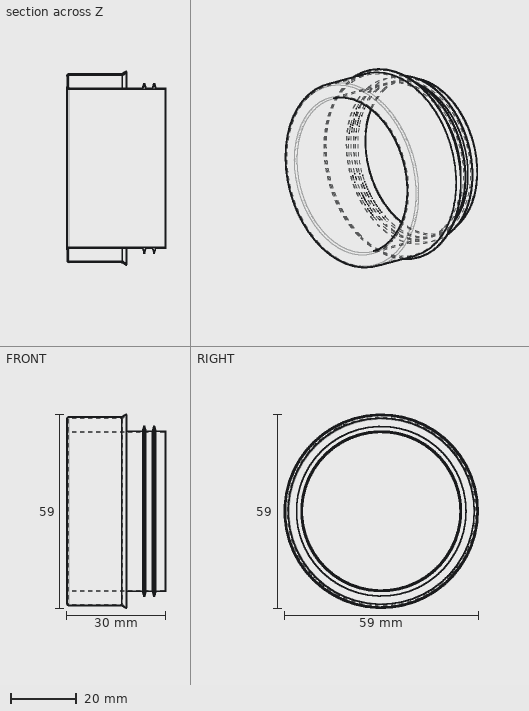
import math

import cadquery as cq

wall = 0.4
total_length = 30.0
bore_diameter = 48.0
shell_diameter = 57.4
bend_radius = 0.6

flare_start = 16.7
lip_tip_x = 17.95
lip_diameter = 59.0

rib_positions = (23.5, 26.5)
rib_height = 1.4
rib_base_width = 1.0
rib_crest_width = 0.2

bore_radius = bore_diameter / 2
tube_radius = bore_radius + wall
shell_radius = shell_diameter / 2
shell_inner_radius = shell_radius - wall
inner_bend_radius = bend_radius - wall

lip_tip_radius = lip_diameter / 2
flare_angle = math.atan2(lip_tip_radius - shell_radius, lip_tip_x - flare_start)
lip_back_x = lip_tip_x + wall * math.sin(flare_angle)
lip_back_radius = lip_tip_radius - wall * math.cos(flare_angle)
inner_flare_start = flare_start + wall * math.tan(flare_angle / 2)


def revolve_about_x(profile):
    """Turn an open (x, radius) outline, once closed, about the X axis."""
    return profile.close().revolve(360, (0, 0, 0), (1, 0, 0))


def make_blank():
    """Front end, shell and tube as one solid ring with rounded front edges."""
    blank = revolve_about_x(
        cq.Workplane("XY")
        .moveTo(0, bore_radius)
        .lineTo(0, shell_radius)
        .lineTo(flare_start, shell_radius)
        .lineTo(lip_tip_x, lip_tip_radius)
        .lineTo(lip_back_x, lip_back_radius)
        .lineTo(lip_back_x, tube_radius)
        .lineTo(total_length, tube_radius)
        .lineTo(total_length, bore_radius)
    )
    return blank.faces("<X").edges().fillet(bend_radius)


def make_cavity():
    """Ring-shaped space between shell and tube, flaring out under the lip."""
    cavity = revolve_about_x(
        cq.Workplane("XY")
        .moveTo(wall, tube_radius)
        .lineTo(wall, shell_inner_radius)
        .lineTo(inner_flare_start, shell_inner_radius)
        .lineTo(lip_back_x, lip_back_radius)
        .lineTo(lip_back_x, tube_radius)
    )
    return cavity.faces("<X").edges().fillet(inner_bend_radius)


def make_rib(center):
    """Tapered rib rooted inside the tube wall."""
    root_radius = tube_radius - wall / 2
    rib_radius = tube_radius + rib_height
    half_base = rib_base_width / 2
    half_crest = rib_crest_width / 2
    return revolve_about_x(
        cq.Workplane("XY")
        .moveTo(center - half_base, root_radius)
        .lineTo(center - half_base, tube_radius)
        .lineTo(center - half_crest, rib_radius)
        .lineTo(center + half_crest, rib_radius)
        .lineTo(center + half_base, tube_radius)
        .lineTo(center + half_base, root_radius)
    )


result = make_blank().cut(make_cavity())
for rib_position in rib_positions:
    result = result.union(make_rib(rib_position))